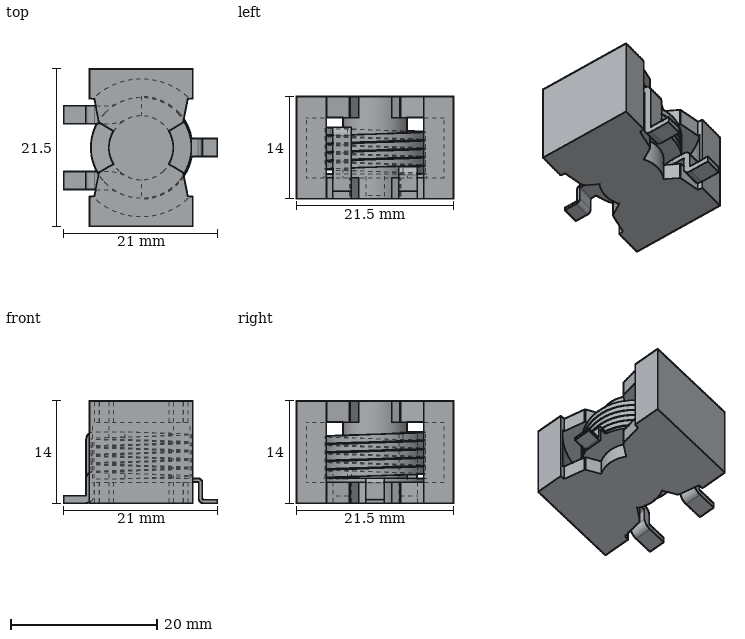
import cadquery as cq
import math

core_length_x = 14.15
core_width_y = 21.5
core_height = 14.0
plate_thickness = 2.9
post_radius = 8.8 / 2
notch_corner_x = 6.39
notch_corner_y = 6.62
leg_edge_y = 6.69
window_radius = 9.42
flank_end = (5.78, 3.55)
facet_end = (5.7, 3.4)
notch_half_angle = math.radians(30.8)

wire_width = 2.5
wire_height = 1.03
coil_outer_radius = 6.88
coil_mean_radius = coil_outer_radius - wire_width / 2
coil_full_turns = 4

lead_offset_y = 4.5
lead_sway_radius = 4.3
lead_tip_x = -10.58
lead_face_x = -7.52
lead_inner_bend = 0.1
low_lead_top = 4.4
high_lead_top = 9.8
join_angle = math.asin((lead_offset_y + lead_sway_radius) / (coil_mean_radius + lead_sway_radius))
sway_start_x = -(coil_mean_radius + lead_sway_radius) * math.cos(join_angle)

strip_thickness = 0.52
strip_outer_radius = 7.03
strip_top = plate_thickness + strip_thickness
pin_face_x = 8.38
pin_tip_x = 10.43
pin_inner_bend = 0.1


def make_core():
    half_x = core_length_x / 2
    half_y = core_width_y / 2
    notch_x = post_radius * math.cos(notch_half_angle)
    notch_y = post_radius * math.sin(notch_half_angle)

    flank = [
        (half_x, half_y),
        (half_x, leg_edge_y),
        (notch_corner_x, notch_corner_y),
        flank_end,
        facet_end,
        (notch_x, notch_y),
    ]
    right_lower = [(x, -y) for x, y in reversed(flank)]
    left_lower = [(-x, -y) for x, y in flank]
    left_upper = [(-x, y) for x, y in reversed(flank)]

    body = (
        cq.Workplane("XY")
        .polyline(flank)
        .threePointArc((post_radius, 0), right_lower[0])
        .polyline(right_lower[1:] + left_lower, includeCurrent=True)
        .threePointArc((-post_radius, 0), left_upper[0])
        .polyline(left_upper[1:], includeCurrent=True)
        .close()
        .extrude(core_height)
    )
    window = (
        cq.Workplane("XY", origin=(0, 0, plate_thickness))
        .circle(window_radius)
        .circle(post_radius)
        .extrude(core_height - 2 * plate_thickness)
    )
    return body.cut(window)


def make_coil():
    turns = coil_full_turns + 1 - join_angle / math.pi
    rise = high_lead_top - low_lead_top
    helix = cq.Wire.makeHelix(rise / turns, rise, coil_mean_radius)
    coil = (
        cq.Workplane("XZ")
        .center(coil_mean_radius, 0)
        .rect(wire_width, wire_height)
        .sweep(cq.Workplane(helix), isFrenet=True)
    )
    start_angle = 180 + math.degrees(join_angle)
    start_height = low_lead_top - wire_height / 2
    return coil.rotate((0, 0, 0), (0, 0, 1), start_angle).translate((0, 0, start_height))


def bent_strip(face_x, tip_x, root_x, top, thickness, inner_bend, width, centre_y):
    """Gull-wing terminal: level run at the given top height, upright, foot on z = 0."""
    side = math.copysign(1, tip_x)
    back_x = face_x - side * thickness
    outer_bend = inner_bend + thickness
    profile = [
        (root_x, top),
        (face_x, top),
        (face_x, thickness),
        (tip_x, thickness),
        (tip_x, 0),
        (back_x, 0),
        (back_x, top - thickness),
        (root_x, top - thickness),
    ]
    strip = (
        cq.Workplane("XZ", origin=(0, centre_y + width / 2, 0))
        .polyline(profile)
        .close()
        .extrude(width)
    )

    def edge_at(x, z):
        return cq.selectors.NearestToPointSelector((x, centre_y, z))

    strip = strip.edges(edge_at(face_x, top)).fillet(outer_bend)
    strip = strip.edges(edge_at(back_x, 0)).fillet(outer_bend)
    strip = strip.edges(edge_at(face_x, thickness)).fillet(inner_bend)
    return strip.edges(edge_at(back_x, top - thickness)).fillet(inner_bend)


def make_lead(top, side_y):
    terminal = bent_strip(
        lead_face_x, lead_tip_x, sway_start_x, top,
        wire_height, lead_inner_bend, wire_width, side_y * lead_offset_y,
    )
    sway_centre_y = side_y * (lead_offset_y + lead_sway_radius)
    sway_angle = math.pi / 2 - join_angle

    def sway_point(radius, angle):
        return (
            sway_start_x + radius * math.sin(angle),
            sway_centre_y - side_y * radius * math.cos(angle),
        )

    near = lead_sway_radius - wire_width / 2
    far = lead_sway_radius + wire_width / 2
    sway = (
        cq.Workplane("XY", origin=(0, 0, top - wire_height))
        .moveTo(*sway_point(near, 0))
        .threePointArc(sway_point(near, sway_angle / 2), sway_point(near, sway_angle))
        .lineTo(*sway_point(far, sway_angle))
        .threePointArc(sway_point(far, sway_angle / 2), sway_point(far, 0))
        .close()
        .extrude(wire_height)
    )
    return terminal.union(sway)


def make_strip():
    half_ring = (
        cq.Workplane("XY", origin=(0, 0, plate_thickness))
        .moveTo(0, -strip_outer_radius)
        .threePointArc((strip_outer_radius, 0), (0, strip_outer_radius))
        .lineTo(0, post_radius)
        .threePointArc((post_radius, 0), (0, -post_radius))
        .close()
        .extrude(strip_thickness)
    )
    pin_root_x = (post_radius + strip_outer_radius) / 2
    pin = bent_strip(
        pin_face_x, pin_tip_x, pin_root_x, strip_top,
        strip_thickness, pin_inner_bend, wire_width, 0,
    )
    return half_ring.union(pin)


result = (
    make_core()
    .union(make_strip())
    .union(make_coil())
    .union(make_lead(low_lead_top, -1))
    .union(make_lead(high_lead_top, 1))
)